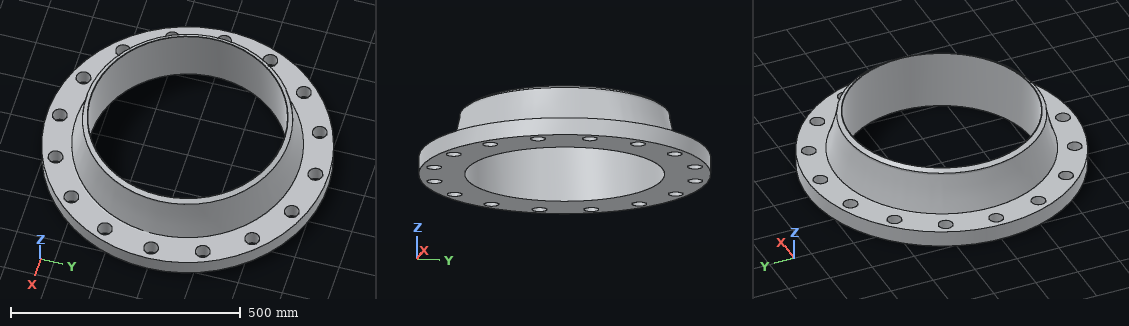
import cadquery as cq

flange_radius = 317.5
flange_thickness = 38.0

total_height = 138.5
bore_radius = 217.0
pipe_radius = 228.5
neck_base_radius = 252.5
weld_land = 1.0
bevel_height = 7.0
straight_height = 6.0
neck_bow = 2.0
root_fillet_radius = 3.0

bolt_count = 16
bolt_circle_radius = 289.0
bolt_hole_diameter = 32.0


def ring_profile():
    """Half section of flange and neck: radius against height."""
    bevel_bottom = total_height - bevel_height
    taper_top = bevel_bottom - straight_height
    taper_middle = (
        (pipe_radius + neck_base_radius) / 2 - neck_bow,
        (taper_top + flange_thickness) / 2,
    )
    return (
        cq.Workplane("XZ")
        .moveTo(bore_radius, 0)
        .lineTo(flange_radius, 0)
        .lineTo(flange_radius, flange_thickness)
        .lineTo(neck_base_radius, flange_thickness)
        .threePointArc(taper_middle, (pipe_radius, taper_top))
        .lineTo(pipe_radius, bevel_bottom)
        .lineTo(bore_radius + weld_land, total_height)
        .lineTo(bore_radius, total_height)
        .close()
    )


def bolt_holes():
    """Cutters for the ring of through holes, one of them on the X axis."""
    return (
        cq.Workplane("XY")
        .polarArray(bolt_circle_radius, 0, 360, bolt_count)
        .circle(bolt_hole_diameter / 2)
        .extrude(flange_thickness)
    )


def round_neck_root(body):
    """Fillet the inner edge of the bolting face, where the neck meets the flange."""
    bolting_face_point = (bolt_circle_radius, 0, flange_thickness)
    bolting_face = cq.selectors.NearestToPointSelector(bolting_face_point)
    smallest_circle = cq.selectors.RadiusNthSelector(0)
    return body.faces("|Z").faces(bolting_face).edges(smallest_circle).fillet(root_fillet_radius)


body = ring_profile().revolve(360, (0, 0, 0), (0, 1, 0))
body = round_neck_root(body)
result = body.cut(bolt_holes())